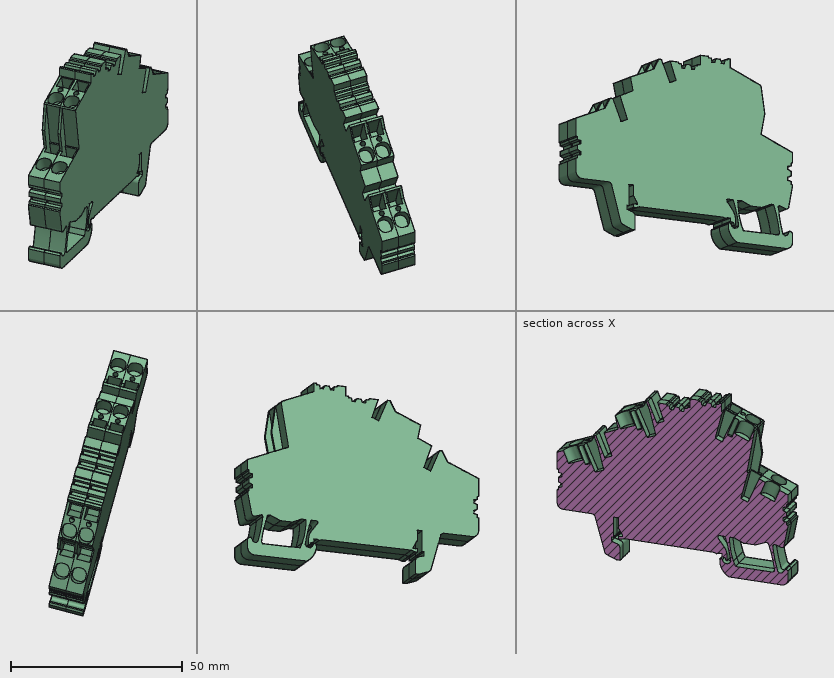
import cadquery as cq
import math

MODULE_COUNT = 2
MODULE_WIDTH = 5.1
HALF_LENGTH = 36.2
TOP_HEIGHT = 54.5

LEDGE_TILT = 22.2
LEDGE_FALL = math.tan(math.radians(LEDGE_TILT))
TIER_STEP_Y = 16.3
TIER_STEP_Z = 13.45
PRONG_ROOT_Y = 10.2
PRONG_ROOT_Z = 48.6
PRONG_TIP_Z = 51.8
SHELF_Z = 51.65
CROWN_BACK_Y = -5.4
CROWN_FRONT_Y = -15.4
FRONT_UPPER_Z = 51.9
NOSE_Y = -25.7
NOSE_CHAMFER = 0.3
FRONT_LOWER_Z = 33.15
RIB_CREST_Y = -26.9
RIB_CREST_Z = 39.4
BASE_Z = 13.3
RAIL_Z = 7.0

SIDE_WALL = 0.8
SLOT_WIDTH_X = 3.9
FRONT_SLOT_LENGTH = 3.55
PRONG_SLOT_LENGTH = 4.1
SLOT_DEPTH = 8.7
SLOT_LEAD_IN = 0.9
SLOT_CLEARANCE = 3.6
INNER_TAPER = math.tan(math.radians(7.5))
OUTER_TAPER = math.tan(math.radians(2.0))
TEST_HOLE_OFFSET = 1.1
TEST_HOLE_DIAMETER = 1.45
TEST_HOLE_DEPTH = 5.8
WIRE_HOLE_OFFSET = 4.55
WIRE_HOLE_WIDTH = 4.3
WIRE_HOLE_LENGTH = 4.6
WIRE_HOLE_CORNER = 1.9
WIRE_HOLE_DEPTH = 4.2

COMB_RIM_LENGTH = 6.65
COMB_LENGTH = 6.2
COMB_STEP = 0.4
GROOVE_DEPTH = 1.48
TOOTH_TIP = 1.4
TOOTH_ROOT = 2.3
GROOVES_FLOOR_SPAN = 4.2
GROOVES_MOUTH_SPAN = 4.6
FLOOR_LOW_WIDTH = 0.3
FLOOR_CHAMFER_WIDTH = 0.3
FLOOR_CHAMFER_DROP = 0.15
TOP_COMB_Y = -11.32
SHELF_COMB_Y = -1.34
SIDE_COMB_Z = 22.5


def profile(start):
    """Begin a (Y, Z) outline at the -X face of a module."""
    return cq.Workplane("YZ").moveTo(*start)


def tier_points():
    """Wing ledge, prong and step of the +Y side, from the lower tier up to the shelf."""
    lower_root_y = PRONG_ROOT_Y + TIER_STEP_Y
    lower_root_z = PRONG_ROOT_Z - TIER_STEP_Z
    step_y = 18.0
    return [
        (HALF_LENGTH, lower_root_z - (HALF_LENGTH - lower_root_y) * LEDGE_FALL),
        (lower_root_y, lower_root_z),
        (lower_root_y - 1.75, PRONG_TIP_Z - TIER_STEP_Z),
        (lower_root_y - 2.5, PRONG_TIP_Z - TIER_STEP_Z),
        (21.55, 39.4),
        (17.15, 41.4),
        (step_y, PRONG_ROOT_Z - (step_y - PRONG_ROOT_Y) * LEDGE_FALL),
        (PRONG_ROOT_Y, PRONG_ROOT_Z),
        (PRONG_ROOT_Y - 1.75, PRONG_TIP_Z),
        (PRONG_ROOT_Y - 2.5, PRONG_TIP_Z),
        (4.6, SHELF_Z),
    ]


def front_points():
    """Crown, upper ledge, bulging rib and lower ledge of the -Y side."""
    return [
        (CROWN_BACK_Y, SHELF_Z),
        (CROWN_BACK_Y, TOP_HEIGHT),
        (CROWN_FRONT_Y, TOP_HEIGHT),
        (CROWN_FRONT_Y, FRONT_UPPER_Z),
        (NOSE_Y + NOSE_CHAMFER, front_upper_ledge(NOSE_Y + NOSE_CHAMFER)),
        (NOSE_Y, nose_z()),
        (RIB_CREST_Y, RIB_CREST_Z),
        (NOSE_Y, FRONT_LOWER_Z),
        (-HALF_LENGTH, front_lower_ledge(-HALF_LENGTH)),
        (-HALF_LENGTH, 18.8),
        (-34.95, 12.65),
    ]


def front_upper_ledge(y):
    return FRONT_UPPER_Z - (CROWN_FRONT_Y - y) * LEDGE_FALL


def nose_z():
    return front_upper_ledge(NOSE_Y) - NOSE_CHAMFER


def front_lower_ledge(y):
    return FRONT_LOWER_Z - (NOSE_Y - y) * LEDGE_FALL


def housing_block():
    """Main body with the rail seat; the rounded wing corner is drawn as an arc."""
    corner = 1.95
    diagonal = corner * (1 - math.sqrt(0.5))
    return (
        profile((HALF_LENGTH, BASE_Z + corner))
        .polyline(tier_points() + front_points(), includeCurrent=True)
        .threePointArc((-34.6, 11.95), (-34.0, 11.8))
        .lineTo(-31.75, 12.5)
        .lineTo(-31.4, 12.0)
        .lineTo(-29.8, 12.6)
        .lineTo(-29.1, 12.65)
        .lineTo(-25.9, 11.35)
        .lineTo(-22.15, 11.35)
        .lineTo(-19.3, 12.6)
        .lineTo(-16.2, 12.6)
        .lineTo(-14.6, 12.6)
        .threePointArc((-14.25, 12.3), (-14.3, 11.8))
        .lineTo(-16.2, 9.3)
        .threePointArc((-16.85, 8.1), (-17.1, 6.95))
        .lineTo(-17.1, 5.1)
        .lineTo(-16.65, 5.1)
        .lineTo(-16.4, 5.8)
        .lineTo(-15.4, 6.0)
        .lineTo(-15.4, RAIL_Z)
        .lineTo(-14.5, RAIL_Z)
        .lineTo(-13.8, 6.7)
        .lineTo(-12.9, RAIL_Z)
        .lineTo(15.05, RAIL_Z)
        .lineTo(16.1, 6.65)
        .lineTo(17.0, 6.65)
        .lineTo(17.0, 7.7)
        .lineTo(15.7, 7.7)
        .lineTo(15.7, 8.0)
        .lineTo(17.0, 10.1)
        .lineTo(17.0, BASE_Z)
        .lineTo(HALF_LENGTH - corner, BASE_Z)
        .threePointArc(
            (HALF_LENGTH - diagonal, BASE_Z + diagonal),
            (HALF_LENGTH, BASE_Z + corner),
        )
        .close()
        .extrude(MODULE_WIDTH)
    )


def rail_foot():
    """Rigid foot that hooks under the rail on the +Y side."""
    root_overlap_z = BASE_Z + 0.7
    return (
        profile((18.45, root_overlap_z))
        .lineTo(25.25, root_overlap_z)
        .lineTo(25.25, BASE_Z)
        .threePointArc((24.6, 13.0), (24.25, 12.4))
        .lineTo(21.35, 2.1)
        .threePointArc((21.1, 1.6), (20.6, 1.15))
        .lineTo(17.6, 0)
        .lineTo(16.4, 0)
        .lineTo(16.4, 4.05)
        .threePointArc((16.65, 4.7), (17.15, 5.15))
        .lineTo(19.1, 5.8)
        .lineTo(19.1, RAIL_Z)
        .lineTo(18.45, RAIL_Z)
        .close()
        .extrude(MODULE_WIDTH)
    )


def latch_base():
    """Hooked bar at the bottom of the spring latch on the -Y side."""
    return (
        profile((-17.65, 0))
        .threePointArc((-15.8, 1.6), (-14.7, 4.05))
        .lineTo(-14.7, 5.2)
        .threePointArc((-15.1, 5.6), (-15.6, 5.35))
        .threePointArc((-16.9, 4.2), (-18.15, 5.1))
        .lineTo(-19.1, 5.35)
        .lineTo(-19.75, 3.75)
        .lineTo(-31.4, 3.75)
        .lineTo(-31.8, 4.2)
        .lineTo(-32.9, 4.4)
        .threePointArc((-33.8, 3.8), (-34.65, 4.5))
        .lineTo(-35.15, 5.3)
        .lineTo(-35.5, 5.3)
        .lineTo(-HALF_LENGTH, 4.85)
        .lineTo(-HALF_LENGTH, 1.75)
        .threePointArc((-35.5, 0.6), (-34.3, 0))
        .close()
        .extrude(MODULE_WIDTH)
    )


def inner_latch_arm():
    return (
        profile((-16.05, 12.9))
        .lineTo(-16.6, 11.9)
        .threePointArc((-17.6, 8.2), (-18.15, 5.1))
        .lineTo(-18.15, 3.6)
        .lineTo(-19.75, 3.6)
        .threePointArc((-18.7, 6.7), (-17.9, 12.15))
        .threePointArc((-17.95, 12.45), (-18.2, 12.9))
        .close()
        .extrude(MODULE_WIDTH)
    )


def outer_latch_arm():
    return (
        profile((-29.65, 12.9))
        .lineTo(-29.95, 12.3)
        .threePointArc((-31.1, 8.3), (-31.8, 4.2))
        .lineTo(-31.8, 3.6)
        .lineTo(-33.2, 3.6)
        .lineTo(-32.9, 4.4)
        .threePointArc((-32.0, 8.3), (-31.4, 12.0))
        .lineTo(-31.75, 12.9)
        .close()
        .extrude(MODULE_WIDTH)
    )


def prong_slit():
    """Oblique slit beside the upper prong; the lower tier has the same one."""
    return (
        profile((4.85, 45.2))
        .lineTo(2.75, 46.1)
        .lineTo(5.4, 53.55)
        .lineTo(8.4, 53.55)
        .close()
        .extrude(MODULE_WIDTH)
    )


def nose_recess():
    """Sloping hollow under the upper -Y ledge that leaves only a thin bulging rib on the -X side."""
    outer_y = RIB_CREST_Y - 0.7
    foot_y = -23.4
    return (
        cq.Workplane("YZ", origin=(SIDE_WALL, 0, 0))
        .moveTo(NOSE_Y, nose_z())
        .lineTo(foot_y, front_lower_ledge(foot_y))
        .lineTo(outer_y, front_lower_ledge(outer_y))
        .lineTo(outer_y, nose_z())
        .close()
        .extrude(MODULE_WIDTH)
    )


def comb_cutter():
    """Toothed recess centred on the origin and open towards +Z."""
    recess = (
        profile((-COMB_RIM_LENGTH / 2, 0))
        .lineTo(-COMB_LENGTH / 2, -COMB_STEP)
        .lineTo(COMB_LENGTH / 2, -COMB_STEP)
        .lineTo(COMB_RIM_LENGTH / 2, 0)
        .close()
        .extrude(MODULE_WIDTH)
    )
    for side in (-1, 1):
        floor_start = side * TOOTH_ROOT / 2
        floor_end = side * GROOVES_FLOOR_SPAN / 2
        groove = (
            profile((side * TOOTH_TIP / 2, -COMB_STEP))
            .lineTo(floor_start, -GROOVE_DEPTH)
            .lineTo(floor_end, -GROOVE_DEPTH)
            .lineTo(side * GROOVES_MOUTH_SPAN / 2, -COMB_STEP)
            .close()
            .extrude(MODULE_WIDTH)
        )
        low_floor = (
            cq.Workplane("XZ", origin=(0, (floor_start + floor_end) / 2, 0))
            .moveTo(0, -GROOVE_DEPTH)
            .lineTo(FLOOR_LOW_WIDTH + FLOOR_CHAMFER_WIDTH, -GROOVE_DEPTH)
            .lineTo(FLOOR_LOW_WIDTH, -GROOVE_DEPTH - FLOOR_CHAMFER_DROP)
            .lineTo(0, -GROOVE_DEPTH - FLOOR_CHAMFER_DROP)
            .close()
            .extrude(abs(floor_end - floor_start) / 2, both=True)
        )
        recess = recess.union(groove).union(low_floor)
    return recess


def comb_cutters():
    """The four combs as (turn about X, Y, Z)."""
    placements = [
        (0, TOP_COMB_Y, TOP_HEIGHT),
        (0, SHELF_COMB_Y, SHELF_Z),
        (-90, HALF_LENGTH, SIDE_COMB_Z),
        (90, -HALF_LENGTH, SIDE_COMB_Z),
    ]
    return [
        comb_cutter().rotate((0, 0, 0), (1, 0, 0), turn).translate((0, y, z))
        for turn, y, z in placements
    ]


def wire_hole():
    """Blind wire entry with a strongly rounded, slightly oblong mouth."""
    return (
        cq.Workplane("XY", origin=(MODULE_WIDTH / 2, WIRE_HOLE_OFFSET, 0))
        .rect(WIRE_HOLE_WIDTH, WIRE_HOLE_LENGTH)
        .extrude(-WIRE_HOLE_DEPTH)
        .edges("|Z")
        .fillet(WIRE_HOLE_CORNER)
    )


def test_hole():
    return (
        cq.Workplane("XY", origin=(MODULE_WIDTH / 2, TEST_HOLE_OFFSET, 0))
        .circle(TEST_HOLE_DIAMETER / 2)
        .extrude(-TEST_HOLE_DEPTH)
    )


def clamp_slot(length):
    """Tapering slot running from its outer edge at the origin towards -Y."""
    return (
        cq.Workplane("YZ", origin=(SIDE_WALL, 0, 0))
        .moveTo(0, SLOT_CLEARANCE)
        .lineTo(0, 0)
        .lineTo(-SLOT_DEPTH * OUTER_TAPER, -SLOT_DEPTH)
        .lineTo(-length + (SLOT_DEPTH - SLOT_LEAD_IN) * INNER_TAPER, -SLOT_DEPTH)
        .lineTo(-length, -SLOT_LEAD_IN)
        .lineTo(-length, SLOT_CLEARANCE)
        .close()
        .extrude(SLOT_WIDTH_X)
    )


def terminal_cutter(slot_length, has_test_hole, faces_back, y, z):
    """All openings of one terminal, tilted with its ledge; faces_back puts it on the +Y side."""
    openings = clamp_slot(slot_length).union(wire_hole())
    if has_test_hole:
        openings = openings.union(test_hole())
    openings = openings.rotate((0, 0, 0), (1, 0, 0), -LEDGE_TILT)
    if not faces_back:
        openings = openings.mirror("XZ")
    return openings.translate((0, y, z))


def terminal_cutters():
    front_upper_y = -19.0
    front_lower_y = -27.05
    back_upper_y = 11.4
    back_upper_z = PRONG_ROOT_Z - (back_upper_y - PRONG_ROOT_Y) * LEDGE_FALL
    back_upper = terminal_cutter(PRONG_SLOT_LENGTH, True, True, back_upper_y, back_upper_z)
    return [
        back_upper,
        back_upper.translate((0, TIER_STEP_Y, -TIER_STEP_Z)),
        terminal_cutter(FRONT_SLOT_LENGTH, True, False, front_upper_y, front_upper_ledge(front_upper_y)),
        terminal_cutter(FRONT_SLOT_LENGTH, False, False, front_lower_y, front_lower_ledge(front_lower_y)),
    ]


def terminal_module():
    module = housing_block()
    for part in (rail_foot(), latch_base(), inner_latch_arm(), outer_latch_arm()):
        module = module.union(part)
    slit = prong_slit()
    cutters = [slit, slit.translate((0, TIER_STEP_Y, -TIER_STEP_Z)), nose_recess()]
    for cutter in cutters + comb_cutters() + terminal_cutters():
        module = module.cut(cutter)
    return module


modules = [
    terminal_module().translate((index * MODULE_WIDTH, 0, 0)) for index in range(MODULE_COUNT)
]
result = cq.Compound.makeCompound([module.solids().val() for module in modules])